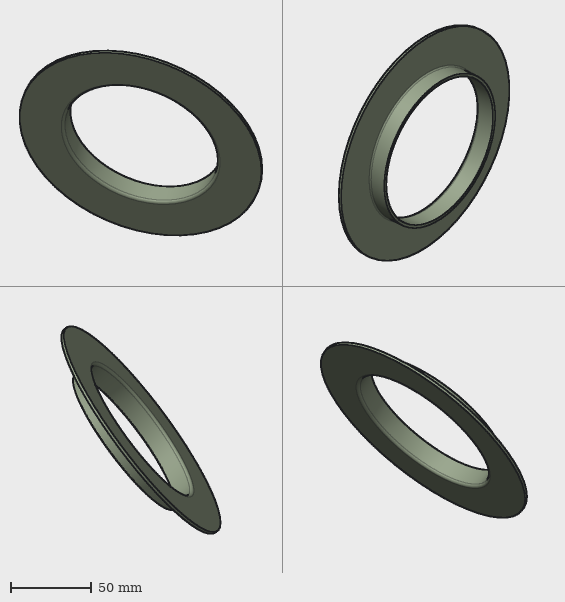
import cadquery as cq

flange_diameter = 158.0
bore_diameter = 100.0
wall = 2.0
depth = 14.0
mouth_radius = 1.9
root_radius = 1.0

flange_radius = flange_diameter / 2
bore_radius = bore_diameter / 2
tube_radius = bore_radius + wall
front = -depth / 2
back = depth / 2
flange_back = front + wall


def quarter_arc_middle(center, radius, x_sign, y_sign):
    """Midpoint of a quarter arc lying in the given quadrant around its center."""
    reach = radius * 0.5**0.5
    return (center[0] + x_sign * reach, center[1] + y_sign * reach)


mouth_center = (bore_radius + mouth_radius, front + mouth_radius)
root_center = (tube_radius + root_radius, flange_back + root_radius)

section = (
    cq.Workplane("XY")
    .moveTo(mouth_center[0], front)
    .lineTo(flange_radius, front)
    .lineTo(flange_radius, flange_back)
    .lineTo(root_center[0], flange_back)
    .threePointArc(quarter_arc_middle(root_center, root_radius, -1, -1), (tube_radius, root_center[1]))
    .lineTo(tube_radius, back)
    .lineTo(bore_radius, back)
    .lineTo(bore_radius, mouth_center[1])
    .threePointArc(quarter_arc_middle(mouth_center, mouth_radius, -1, -1), (mouth_center[0], front))
    .close()
)

result = section.revolve(360, (0, 0, 0), (0, 1, 0))